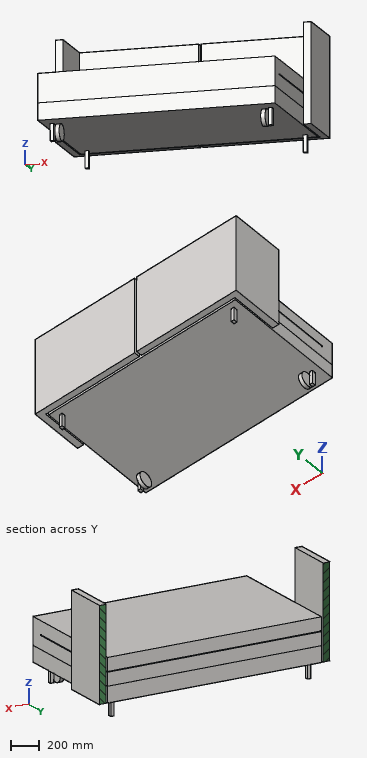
import cadquery as cq

WIDTH = 1863.0
DEPTH = 1095.0
HEIGHT = 855.0

LEG_HEIGHT = 123.0
BACK_THICKNESS = 50.0
ARM_THICKNESS = 55.0
ARM_DEPTH = 450.0
SHELL_GAP = 19.0

SEAT_SIDE_CLEARANCE = 67.0
SEAT_REAR_CLEARANCE = 67.0
SEAT_WIDTH = WIDTH - 2 * SEAT_SIDE_CLEARANCE
SEAT_DEPTH = DEPTH - SEAT_REAR_CLEARANCE
BASE_HEIGHT = 125.0
MATTRESS_HEIGHT = 212.0
FOLD_GAP = 5.0
FOLD_LENGTH = 106.0

LEG_WIDTH = 26.0
LEG_DEPTH = 32.0
LEG_SIDE_INSET = 123.0
LEG_END_INSET = 117.0

WHEEL_DIAMETER = LEG_HEIGHT
WHEEL_WIDTH = 32.0
WHEEL_SIDE_INSET = 165.0
WHEEL_FRONT_INSET = 149.0

CORNER = (False, False, False)


def make_back_shell(side):
    """Half of the backrest with its arm; side is -1 for left and +1 for right."""
    outer_x = side * WIDTH / 2
    inner_x = side * SHELL_GAP / 2
    arm_x = side * (WIDTH / 2 - ARM_THICKNESS)
    return (
        cq.Workplane("XY")
        .workplane(offset=LEG_HEIGHT)
        .moveTo(inner_x, 0)
        .lineTo(outer_x, 0)
        .lineTo(outer_x, -ARM_DEPTH)
        .lineTo(arm_x, -ARM_DEPTH)
        .lineTo(arm_x, -BACK_THICKNESS)
        .lineTo(inner_x, -BACK_THICKNESS)
        .close()
        .extrude(HEIGHT - LEG_HEIGHT)
    )


def make_base():
    """Flat block carrying the mattress."""
    return (
        cq.Workplane("XY")
        .box(SEAT_WIDTH, SEAT_DEPTH, BASE_HEIGHT, CORNER)
        .translate((-SEAT_WIDTH / 2, -DEPTH, LEG_HEIGHT))
    )


def make_mattress():
    """Mattress folded at the front, with a thin slit between its two layers."""
    bottom_z = LEG_HEIGHT + BASE_HEIGHT
    slit_z = bottom_z + (MATTRESS_HEIGHT - FOLD_GAP) / 2
    block = (
        cq.Workplane("XY")
        .box(SEAT_WIDTH, SEAT_DEPTH, MATTRESS_HEIGHT, CORNER)
        .translate((-SEAT_WIDTH / 2, -DEPTH, bottom_z))
    )
    slit = (
        cq.Workplane("XY")
        .box(SEAT_WIDTH, SEAT_DEPTH - FOLD_LENGTH, FOLD_GAP, CORNER)
        .translate((-SEAT_WIDTH / 2, FOLD_LENGTH - DEPTH, slit_z))
    )
    return block.cut(slit)


def make_leg(side, center_y):
    """Leg from the floor to the underside of the base."""
    center_x = side * (WIDTH / 2 - LEG_SIDE_INSET - LEG_WIDTH / 2)
    return (
        cq.Workplane("XY")
        .center(center_x, center_y)
        .rect(LEG_WIDTH, LEG_DEPTH)
        .extrude(LEG_HEIGHT)
    )


def make_wheel(side):
    """Wheel turning about an axis along X."""
    center_x = side * (WIDTH / 2 - WHEEL_SIDE_INSET - WHEEL_WIDTH / 2)
    return (
        cq.Workplane("YZ")
        .workplane(offset=center_x - WHEEL_WIDTH / 2)
        .center(WHEEL_FRONT_INSET - DEPTH, WHEEL_DIAMETER / 2)
        .circle(WHEEL_DIAMETER / 2)
        .extrude(WHEEL_WIDTH)
    )


SIDES = (-1, 1)
rear_leg_y = -(LEG_END_INSET + LEG_DEPTH / 2)
front_leg_y = -DEPTH + LEG_END_INSET + LEG_DEPTH / 2

base = make_base()
mattress = make_mattress()
back_shells = [make_back_shell(side) for side in SIDES]
legs = [make_leg(side, y) for side in SIDES for y in (rear_leg_y, front_leg_y)]
wheels = [make_wheel(side) for side in SIDES]

bodies = [base, mattress, *back_shells, *legs, *wheels]
result = cq.Compound.makeCompound([body.val() for body in bodies])